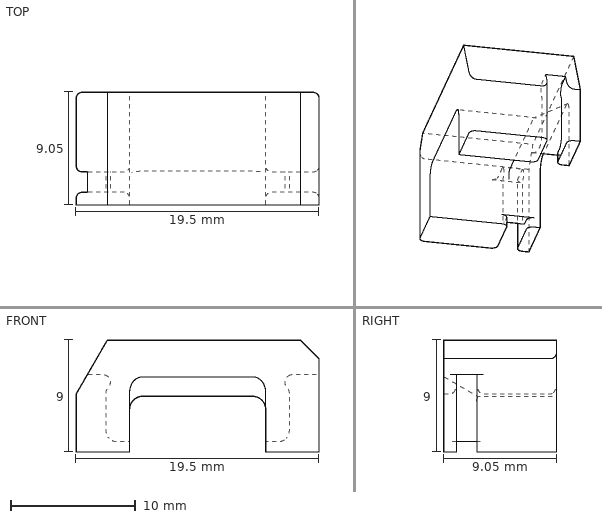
import cadquery as cq
import math

LENGTH = 19.5
DEPTH = 9.05
HEIGHT = 9.0
LEFT_SLOPE_WIDTH = 2.5
LEFT_SLOPE_ANGLE = 60.0
RIGHT_CHAMFER = 1.5
EDGE_RADIUS = 0.5

OPENING_WIDTH = 10.9
OPENING_HEIGHT = 6.05
OPENING_RADIUS = 1.05
REAR_HEIGHT = 4.48
CEILING_ANGLE = 30.0

GROOVE_START = 1.03
GROOVE_WIDTH = 1.62
GROOVE_DEPTH = 2.4
GROOVE_TOP = 6.22
FOOT_NOTCH = 0.84
FOOT_RADIUS = 0.88
POCKET_RADIUS = 0.6
POCKET_BEND_ANGLE = 45.0

HALF_LENGTH = LENGTH / 2
HALF_OPENING = OPENING_WIDTH / 2
GROOVE_END = GROOVE_START + GROOVE_WIDTH


def body():
    """Block with its two sloped top edges and rounded rear corners."""
    slope_height = LEFT_SLOPE_WIDTH * math.tan(math.radians(LEFT_SLOPE_ANGLE))
    outline = [
        (-HALF_LENGTH, 0),
        (HALF_LENGTH, 0),
        (HALF_LENGTH, HEIGHT - RIGHT_CHAMFER),
        (HALF_LENGTH - RIGHT_CHAMFER, HEIGHT),
        (-HALF_LENGTH + LEFT_SLOPE_WIDTH, HEIGHT),
        (-HALF_LENGTH, HEIGHT - slope_height),
    ]
    block = cq.Workplane("XZ").polyline(outline).close().extrude(-DEPTH)
    plan = cq.Workplane("XY").box(LENGTH, DEPTH, HEIGHT, centered=(True, False, False))
    return block.intersect(plan.edges("|Z and >Y").fillet(EDGE_RADIUS))


def opening():
    """Cutter for the space between the legs, rounded where its walls meet the ceiling."""
    slope_end = (OPENING_HEIGHT - REAR_HEIGHT) / math.tan(math.radians(CEILING_ANGLE))
    side_outline = [
        (0, -HEIGHT),
        (DEPTH, -HEIGHT),
        (DEPTH, REAR_HEIGHT),
        (slope_end, REAR_HEIGHT),
        (0, OPENING_HEIGHT),
    ]
    prism = cq.Workplane("YZ").polyline(side_outline).close().extrude(HALF_OPENING, both=True)
    ceiling = prism.faces(">Z or +Z")
    ceiling_ends = ceiling.edges("<X or >X")
    return ceiling_ends.fillet(OPENING_RADIUS)


def groove():
    """Cutter for the band groove of the left leg."""
    floor = -HALF_LENGTH + GROOVE_DEPTH
    bend = math.radians(POCKET_BEND_ANGLE)
    bend_rise = POCKET_RADIUS * math.sin(bend)
    bend_run = POCKET_RADIUS * (1 - math.cos(bend))
    half_bend_rise = POCKET_RADIUS * math.sin(bend / 2)
    half_bend_run = POCKET_RADIUS * (1 - math.cos(bend / 2))
    pocket_centre_x = floor + bend_run - POCKET_RADIUS * math.cos(bend)
    pocket_centre_z = GROOVE_TOP - POCKET_RADIUS
    bend_start = pocket_centre_z - 2 * bend_rise
    foot_corner = FOOT_RADIUS * (1 - math.sqrt(0.5))
    return (
        cq.Workplane("XZ", origin=(0, GROOVE_START, 0))
        .moveTo(-HALF_LENGTH, 0)
        .lineTo(-HALF_OPENING, 0)
        .lineTo(-HALF_OPENING, FOOT_NOTCH)
        .lineTo(floor + FOOT_RADIUS, FOOT_NOTCH)
        .threePointArc(
            (floor + foot_corner, FOOT_NOTCH + foot_corner),
            (floor, FOOT_NOTCH + FOOT_RADIUS),
        )
        .lineTo(floor, bend_start)
        .threePointArc(
            (floor + half_bend_run, bend_start + half_bend_rise),
            (floor + bend_run, bend_start + bend_rise),
        )
        .threePointArc(
            (pocket_centre_x + POCKET_RADIUS, pocket_centre_z),
            (pocket_centre_x, GROOVE_TOP),
        )
        .lineTo(-HALF_LENGTH, GROOVE_TOP)
        .close()
        .extrude(-GROOVE_WIDTH)
    )


def flare(wall_x, inward, wall_y, away, height):
    """Cutter that rounds the vertical edge where a leg face meets a groove wall."""
    corner = EDGE_RADIUS * (1 - math.sqrt(0.5))
    return (
        cq.Workplane("XY")
        .moveTo(wall_x, wall_y)
        .lineTo(wall_x + inward * EDGE_RADIUS, wall_y)
        .threePointArc(
            (wall_x + inward * corner, wall_y + away * corner),
            (wall_x, wall_y + away * EDGE_RADIUS),
        )
        .close()
        .extrude(height)
    )


def leg_cuts():
    """Band groove of the left leg together with its rounded mouth edges."""
    cuts = groove()
    for wall_y, away in ((GROOVE_START, -1), (GROOVE_END, 1)):
        cuts = cuts.union(flare(-HALF_LENGTH, 1, wall_y, away, GROOVE_TOP))
        cuts = cuts.union(flare(-HALF_OPENING, -1, wall_y, away, FOOT_NOTCH))
    return cuts


left_cuts = leg_cuts()
right_cuts = left_cuts.mirror("YZ")
result = body().cut(opening()).cut(left_cuts).cut(right_cuts).solids()